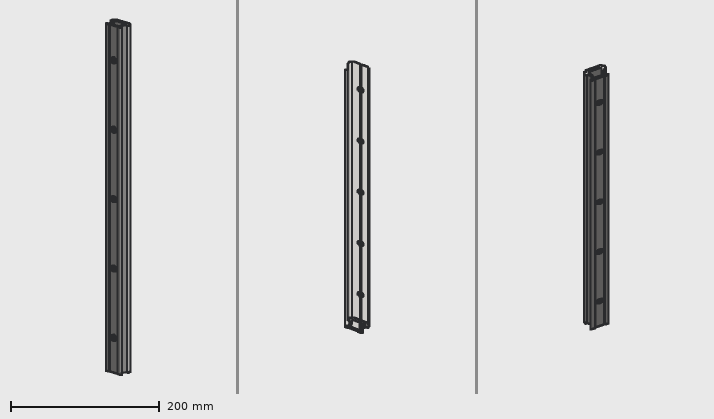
import cadquery as cq
import math

RAIL_LENGTH = 500.0
RAIL_WIDTH = 31.0
RAIL_DEPTH = 21.0
HALF_WIDTH = RAIL_WIDTH / 2
BACK_Y = RAIL_DEPTH / 2
FRONT_Y = -BACK_Y

BACK_WALL_HALF = 12.0
GROOVE_DEPTH = 0.8
GROOVE_HALF = 1.0

FLANGE_BACK_Y = 8.4
FLANGE_FRONT_Y = 2.2
FLANGE_UNDERSIDE_HALF = 13.3
BACK_CORNER_RADIUS = 1.5
FLANGE_FRONT_RADIUS = 0.5

WEB_HALF = 9.6
WEB_BACK_Y = FLANGE_FRONT_Y - (FLANGE_UNDERSIDE_HALF - WEB_HALF)
WEB_RADIUS = 0.7

FOOT_HALF = 13.5
FOOT_RADIUS = 1.3
FOOT_RAMP_ANGLE = math.radians(26)
RECESS_DEPTH = 0.8
RECESS_FLOOR_HALF = 6.5
RECESS_MOUTH_HALF = 7.5

CHANNEL_BACK_Y = 6.0
CHANNEL_FRONT_Y = -6.75
CHANNEL_BACK_HALF = 9.2
CHANNEL_FRONT_HALF = 7.3
CHANNEL_SLOPE_BACK_Y = 3.1
CHANNEL_SLOPE_FRONT_Y = -1.0
CHANNEL_RADIUS = 1.0

HOLE_DIAMETER = 8.5
HOLE_COUNT = 5
HOLE_PITCH = RAIL_LENGTH / HOLE_COUNT


def extrude_symmetric(half_outline):
    """Extrude the +X half of a cross-section along the rail and add its mirror image."""
    half = half_outline.close().extrude(RAIL_LENGTH / 2, both=True)
    return half.union(half.mirror("YZ"))


def round_edges(body, corners, radius):
    """Fillet the lengthwise edges at the given half-outline corners, on both sides."""
    edges = []
    for x, y in corners:
        for side_x in (-x, x):
            nearest = cq.selectors.NearestToPointSelector((side_x, y, 0))
            edges.append(body.edges(nearest).val())
    return body.newObject(edges).fillet(radius)


def outer_body():
    back_corner = (BACK_WALL_HALF, BACK_Y)
    flange_back_corner = (HALF_WIDTH, FLANGE_BACK_Y)
    flange_front_corner = (HALF_WIDTH, FLANGE_FRONT_Y)
    web_back_corner = (WEB_HALF, WEB_BACK_Y)

    foot_centre_x = FOOT_HALF - FOOT_RADIUS
    foot_centre_y = FRONT_Y + FOOT_RADIUS
    ramp_end_x = foot_centre_x + FOOT_RADIUS * math.sin(FOOT_RAMP_ANGLE)
    ramp_end_y = foot_centre_y + FOOT_RADIUS * math.cos(FOOT_RAMP_ANGLE)
    ramp_rise = (ramp_end_x - WEB_HALF) * math.tan(FOOT_RAMP_ANGLE)
    web_front_corner = (WEB_HALF, ramp_end_y + ramp_rise)

    outline = (
        cq.Workplane("XY")
        .moveTo(0, BACK_Y - GROOVE_DEPTH)
        .lineTo(GROOVE_HALF, BACK_Y)
        .lineTo(*back_corner)
        .lineTo(BACK_WALL_HALF, FLANGE_BACK_Y)
        .lineTo(*flange_back_corner)
        .lineTo(*flange_front_corner)
        .lineTo(FLANGE_UNDERSIDE_HALF, FLANGE_FRONT_Y)
        .lineTo(*web_back_corner)
        .lineTo(*web_front_corner)
        .lineTo(ramp_end_x, ramp_end_y)
        .threePointArc((FOOT_HALF, foot_centre_y), (foot_centre_x, FRONT_Y))
        .lineTo(RECESS_MOUTH_HALF, FRONT_Y)
        .lineTo(RECESS_FLOOR_HALF, FRONT_Y + RECESS_DEPTH)
        .lineTo(0, FRONT_Y + RECESS_DEPTH)
    )
    body = extrude_symmetric(outline)
    body = round_edges(body, [back_corner, flange_back_corner], BACK_CORNER_RADIUS)
    body = round_edges(body, [flange_front_corner], FLANGE_FRONT_RADIUS)
    return round_edges(body, [web_back_corner, web_front_corner], WEB_RADIUS)


def inner_channel():
    back_corner = (CHANNEL_BACK_HALF, CHANNEL_BACK_Y)
    outline = (
        cq.Workplane("XY")
        .moveTo(0, CHANNEL_BACK_Y)
        .lineTo(*back_corner)
        .lineTo(CHANNEL_BACK_HALF, CHANNEL_SLOPE_BACK_Y)
        .lineTo(CHANNEL_FRONT_HALF, CHANNEL_SLOPE_FRONT_Y)
        .lineTo(CHANNEL_FRONT_HALF, CHANNEL_FRONT_Y)
        .lineTo(0, CHANNEL_FRONT_Y)
    )
    return round_edges(extrude_symmetric(outline), [back_corner], CHANNEL_RADIUS)


def mounting_holes():
    """Evenly spaced holes along Y, through the front and back walls."""
    first_z = -HOLE_PITCH * (HOLE_COUNT - 1) / 2
    centres = [(0, first_z + i * HOLE_PITCH) for i in range(HOLE_COUNT)]
    return (
        cq.Workplane("XZ")
        .pushPoints(centres)
        .circle(HOLE_DIAMETER / 2)
        .extrude(RAIL_DEPTH, both=True)
    )


result = outer_body().cut(inner_channel()).cut(mounting_holes())